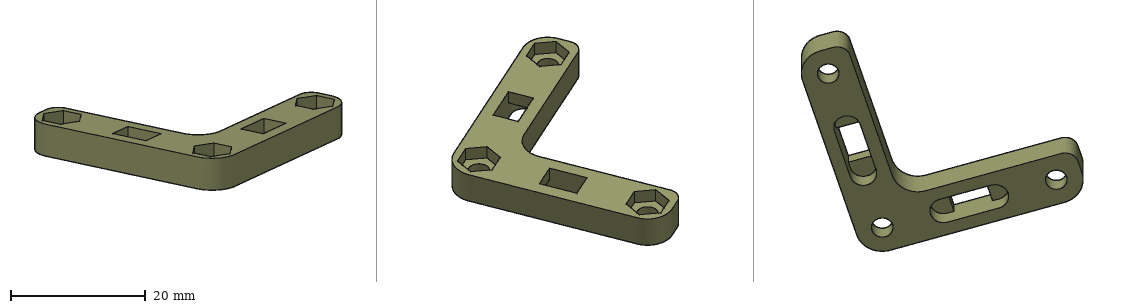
import cadquery as cq

length = 35.0
thickness = 5.0
outer_radius = 4.0
tip_radius = 2.0
hole_diameter = 3.2
nut_corner_width = 6.4
nut_depth = 2.15
slot_length = 6.0
slot_width = 4.0
slot_depth = 2.15
pocket_straight = 8.0

leg_width = 2 * outer_radius
near = outer_radius
far = length - outer_radius
middle = length / 2
hole_centers = [(near, near), (far, near), (far, far)]


def make_body():
    """L-shaped plate with its corner at +X, -Y and all upright edges rounded."""
    inner_x = length - leg_width
    plate = (
        cq.Workplane("XY")
        .moveTo(0, 0)
        .lineTo(length, 0)
        .lineTo(length, length)
        .lineTo(inner_x, length)
        .lineTo(inner_x, leg_width)
        .lineTo(0, leg_width)
        .close()
        .extrude(thickness)
    )
    tip_corners = [(0, leg_width), (inner_x, length)]
    large_corners = [(0, 0), (length, 0), (length, length), (inner_x, leg_width)]
    for corners, radius in [(tip_corners, tip_radius), (large_corners, outer_radius)]:
        for x, y in corners:
            nearest_edge = cq.selectors.NearestToPointSelector((x, y, thickness / 2))
            plate = plate.edges("|Z").edges(nearest_edge).fillet(radius)
    return plate


def make_screw_holes():
    """Through holes with hexagonal nut recesses in the top face."""
    holes = cq.Workplane("XY").pushPoints(hole_centers).circle(hole_diameter / 2).extrude(thickness)
    recesses = (
        cq.Workplane("XY")
        .workplane(offset=thickness - nut_depth)
        .pushPoints(hole_centers)
        .polygon(6, nut_corner_width)
        .extrude(nut_depth)
    )
    return holes.union(recesses)


def make_slot(x, y, angle):
    """Rectangular slot that opens into a longer, round-ended pocket at the bottom face."""
    pocket_depth = thickness - slot_depth
    rectangle = cq.Workplane("XY").rect(slot_length, slot_width).extrude(thickness)
    pocket = cq.Workplane("XY").slot2D(pocket_straight + slot_width, slot_width).extrude(pocket_depth)
    return rectangle.union(pocket).rotate((0, 0, 0), (0, 0, 1), angle).translate((x, y, 0))


result = (
    make_body()
    .cut(make_screw_holes())
    .cut(make_slot(middle, near, 0))
    .cut(make_slot(far, middle, 90))
)